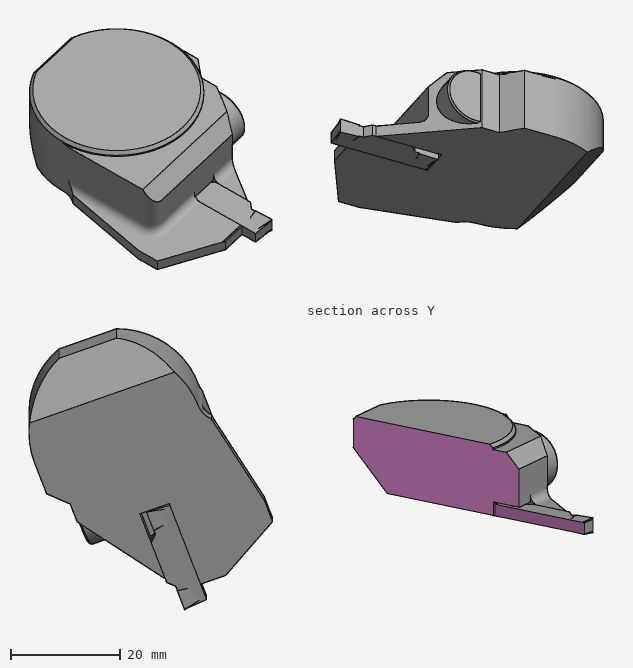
import cadquery as cq
import math


disc_radius = 16.0
disc_top = 13.7
disc_chamfer = 0.6
flat_x = -14.95
heel_chamfer = 7.5

block_top = 12.8
block_front_y = -16.25
block_end_x = 21.5
block_corner_radius = 2.05
block_edge_chamfer = 2.75
root_fillet = 1.65

shoulder_x = 6.45
rear_y = 12.6
rear_corner_x = 13.45
rear_slope = math.tan(math.radians(35.4))

plate_thickness = 2.3
blend_radius = 4.85
blend_end_x = 3.35
plate_front_y = -21.0
plate_front_x = (21.5, 25.85)
plate_end_x = 32.6
plate_end_y = -9.35
end_step_width = 0.3
end_step_depth = 0.075

boss_radius = 5.6
boss_right_x = 20.3
boss_z = 6.65
boss_end_y = 12.45
boss_chamfer = 0.3

tip_x = 36.15
insert_length = 20.15
insert_back_y = 1.3
insert_front_y = -4.45
insert_end_relief = 0.35
neck_length = 4.75
neck_ramp = 1.25
tip_rise = 0.3
tip_root = (32.25, 0)
tip_inner = (32.55, -1.9)
tip_outer = (35.4, -3.1)

insert_mid_x = tip_x - insert_length / 2
insert_mid_z = plate_thickness / 2
insert_start_x = tip_x - insert_length
blend_center_y = -disc_radius - blend_radius


def blend_y(x):
    """Y of the concave blend at a given X."""
    return blend_center_y + math.sqrt(blend_radius ** 2 - x ** 2)


def rear_slope_y(x):
    """Y of the sloping rear side at a given X."""
    return rear_y - (x - rear_corner_x) * rear_slope


def rear_outline(sketch):
    """Continue an outline from the sloping rear side back to the disc axis."""
    return (
        sketch.lineTo(rear_corner_x, rear_y)
        .lineTo(shoulder_x + disc_radius - rear_y, rear_y)
        .lineTo(shoulder_x, disc_radius)
        .lineTo(0, disc_radius)
        .close()
    )


def make_disc():
    disc = cq.Workplane("XY").circle(disc_radius).extrude(disc_top)
    keep = cq.Workplane("XY").box(
        disc_radius - flat_x, 2 * disc_radius, disc_top, centered=(False, True, False)
    ).translate((flat_x, 0, 0))
    disc = disc.intersect(keep).faces(">Z").chamfer(disc_chamfer)
    heel = (
        cq.Workplane("XZ")
        .polyline([(flat_x, 0), (flat_x + heel_chamfer, 0), (flat_x, heel_chamfer)])
        .close()
        .extrude(disc_radius, both=True)
    )
    return disc.cut(heel)


def make_block():
    blend_x = math.sqrt(blend_radius ** 2 - (block_front_y - blend_center_y) ** 2)
    sketch = (
        cq.Workplane("XY")
        .moveTo(0, -disc_radius)
        .threePointArc((blend_x / 2, blend_y(blend_x / 2)), (blend_x, block_front_y))
        .lineTo(block_end_x, block_front_y)
        .lineTo(block_end_x, rear_slope_y(block_end_x))
    )
    block = rear_outline(sketch).extrude(block_top)
    block = block.edges("|Z").edges(">X").edges("<Y").fillet(block_corner_radius)
    edge_cut = (
        cq.Workplane("XZ")
        .polyline([
            (block_end_x - block_edge_chamfer, block_top),
            (block_end_x, block_top),
            (block_end_x, block_top - block_edge_chamfer),
        ])
        .close()
        .extrude(plate_front_y, both=True)
    )
    return block.cut(edge_cut)


def plate_outline():
    sketch = (
        cq.Workplane("XY")
        .moveTo(0, -disc_radius)
        .threePointArc((blend_end_x / 2, blend_y(blend_end_x / 2)), (blend_end_x, blend_y(blend_end_x)))
        .lineTo(plate_front_x[0], plate_front_y)
        .lineTo(plate_front_x[1], plate_front_y)
        .lineTo(plate_end_x, plate_end_y)
        .lineTo(plate_end_x, rear_slope_y(plate_end_x))
    )
    return rear_outline(sketch)


def make_plate():
    plate = plate_outline().extrude(plate_thickness)
    step_cut = (
        cq.Workplane("XY")
        .box(end_step_width, -2 * plate_front_y, end_step_depth, centered=(False, True, False))
        .translate((plate_end_x - end_step_width, 0, plate_thickness - end_step_depth))
    )
    return plate.cut(step_cut)


def make_root_fillet():
    """Concave fillet along the front and end walls of the block."""
    width = block_end_x + root_fillet
    depth = rear_y - block_front_y + root_fillet
    radius = block_corner_radius + root_fillet
    fillet_top = plate_thickness + root_fillet
    band = (
        cq.Workplane("XY", origin=(0, block_front_y - root_fillet, plate_thickness))
        .rect(width, depth, centered=False)
        .extrude(root_fillet)
    )
    band = band.edges("|Z").edges(">X").edges("<Y").fillet(radius)
    path = (
        cq.Workplane("XY", origin=(0, 0, fillet_top))
        .moveTo(0, block_front_y - root_fillet)
        .lineTo(width - radius, block_front_y - root_fillet)
        .radiusArc((width, block_front_y - root_fillet + radius), -radius)
        .lineTo(width, rear_y)
    )
    groove = (
        cq.Workplane("YZ", origin=(0, block_front_y - root_fillet, fillet_top))
        .circle(root_fillet)
        .sweep(path)
    )
    return band.cut(groove).intersect(plate_outline().extrude(block_top))


def make_boss():
    boss = (
        cq.Workplane("XZ", origin=(boss_right_x - boss_radius, boss_end_y, boss_z))
        .circle(boss_radius)
        .extrude(boss_end_y)
    )
    return boss.faces(">Y").chamfer(boss_chamfer)


def make_pocket():
    """Slot for the insert, opened upward through the root fillet."""
    width = insert_back_y - insert_front_y
    slot = cq.Workplane("XY", origin=(insert_start_x, insert_front_y, 0)).box(
        insert_length, width, plate_thickness + tip_rise, centered=False
    )
    opening = cq.Workplane("XY", origin=(block_end_x, insert_front_y, 0)).box(
        tip_x - block_end_x, width, block_top, centered=False
    )
    return slot.union(opening)


def make_housing():
    housing = make_disc().union(make_block()).union(make_plate())
    housing = housing.union(make_root_fillet()).union(make_boss())
    return housing.cut(make_pocket())


def make_tip():
    """Shallow wedge standing on the insert face, highest at the cutting corner."""
    line_x = tip_outer[0] - tip_inner[0]
    line_y = tip_outer[1] - tip_inner[1]

    def distance(point):
        return line_x * (point[1] - tip_inner[1]) - line_y * (point[0] - tip_inner[0])

    corner = (tip_x, 0)
    root_rise = tip_rise * distance(tip_root) / distance(corner)
    root, inner, outer, corner_base = [
        cq.Vector(x, y, plate_thickness) for x, y in (tip_root, tip_inner, tip_outer, corner)
    ]
    root_top = root + cq.Vector(0, 0, root_rise)
    corner_top = corner_base + cq.Vector(0, 0, tip_rise)
    outlines = [
        [root, inner, outer, corner_base],
        [root_top, inner, outer, corner_top],
        [root, root_top, corner_top, corner_base],
        [root, root_top, inner],
        [corner_base, corner_top, outer],
    ]
    faces = [cq.Face.makeFromWires(cq.Wire.makePolygon(points, close=True)) for points in outlines]
    return cq.Workplane(cq.Solid.makeSolid(cq.Shell.makeShell(faces)))


def make_insert():
    half = (
        cq.Workplane("XY")
        .polyline([
            (insert_mid_x, insert_front_y),
            (tip_x - insert_end_relief, insert_front_y),
            (tip_x, 0),
            (tip_x - neck_length, 0),
            (tip_x - neck_length - neck_ramp, insert_back_y),
            (insert_mid_x, insert_back_y),
        ])
        .close()
        .extrude(plate_thickness)
    )
    upper_tip = make_tip()
    lower_tip = upper_tip.mirror("XY", (0, 0, insert_mid_z))
    half = half.union(upper_tip).union(lower_tip)
    return half.union(half.mirror("YZ", (insert_mid_x, 0, 0)))


housing = make_housing()
insert = make_insert()
result = cq.Compound.makeCompound([housing.solids().val(), insert.solids().val()])